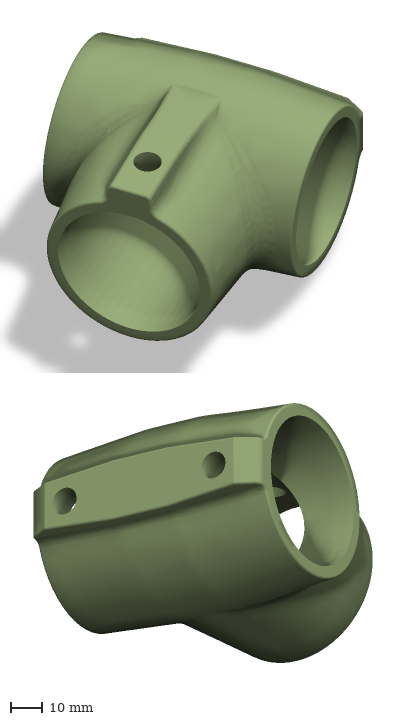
import cadquery as cq
import math

run_half_length = 43.0
branch_end = -59.0
bore_radius = 24.5
tube_end_radius = 28.6

band_radius = 31.4
band_half_length = 10.0
band_blend_length = 1.3
cone_slope = (band_radius - tube_end_radius) / (run_half_length - band_half_length)
band_end = band_half_length - band_blend_length
cone_start = band_half_length + band_blend_length
cone_start_radius = band_radius - band_blend_length * cone_slope

branch_draft_x = 6.3
branch_draft_z = 2.5
saddle_radius = 8.0

pad_height = 35.0
pad_base = 26.0
pad_draft = 6.0
pad_depth = pad_height - pad_base
pad_base_flare = pad_depth * math.tan(math.radians(pad_draft))
end_edge_radius = 0.8

run_pad_root_half_width = 10.2
run_pad_end_half_width = 7.5
run_pad_flat_half_length = 35.6
run_pad_end_height = 30.8
run_pad_corner_radius = 3.0
run_pad_blend_radius = 3.0

branch_pad_end_half_width = 7.2
branch_pad_root_half_width = 7.8
branch_pad_edge_radius = 1.8
branch_pad_blend_radius = 4.0
ramp_top_y = -34.2
ramp_foot_y = -4.0
ramp_foot_z = math.sqrt(band_radius**2 - ramp_foot_y**2)
ramp_slope = (pad_height - ramp_foot_z) / (ramp_foot_y - ramp_top_y)
ramp_bend_radius = 80.0

hole_diameter = 9.0
hole_setback = 15.0

far = 200.0
margin = 0.5
core_setback = 2.0


def block(x_range=(-far, far), y_range=(-far, far), z_range=(-far, far)):
    """Axis-aligned block spanning the given ranges."""
    sizes = [high - low for low, high in (x_range, y_range, z_range)]
    centre = tuple((low + high) / 2 for low, high in (x_range, y_range, z_range))
    return cq.Workplane("XY").box(*sizes).translate(centre)


def zone(x_range, y_range, z_range):
    """Selector for edges whose centre lies within the given ranges."""
    low_corner, high_corner = zip(x_range, y_range, z_range)
    return cq.selectors.BoxSelector(low_corner, high_corner)


def make_run():
    outline = (
        cq.Workplane("XY")
        .moveTo(-run_half_length, 0)
        .lineTo(-run_half_length, tube_end_radius)
        .lineTo(-cone_start, cone_start_radius)
        .tangentArcPoint((-band_end, band_radius), relative=False)
        .lineTo(band_end, band_radius)
        .tangentArcPoint((cone_start, cone_start_radius), relative=False)
        .lineTo(run_half_length, tube_end_radius)
        .lineTo(run_half_length, 0)
        .close()
    )
    return outline.revolve(360, (0, 0, 0), (1, 0, 0))


def make_branch():
    length = -branch_end
    root_radius_x = tube_end_radius + length * math.tan(math.radians(branch_draft_x))
    root_radius_z = tube_end_radius + length * math.tan(math.radians(branch_draft_z))
    cone = (
        cq.Workplane("XZ")
        .ellipse(root_radius_x, root_radius_z)
        .workplane(offset=length)
        .ellipse(tube_end_radius, tube_end_radius)
        .loft(ruled=True)
    )
    return cone


def make_half_core():
    """Half of the joined run and branch around the rounded saddle, short of the run's open end."""
    half = make_run().union(make_branch()).intersect(block(x_range=(0, far)))
    saddle_edges = zone((margin, run_half_length), (-tube_end_radius, -margin), (-band_radius, band_radius))
    half = half.edges(saddle_edges).edges("not(#X)").fillet(saddle_radius)
    return half.intersect(block(x_range=(0, run_half_length - core_setback)))


def make_run_pad_block():
    """Drafted block of constant height that narrows along the cone."""
    def section(plane, flare):
        middle = run_pad_root_half_width + flare
        end = run_pad_end_half_width + flare
        corners = [(0, middle), (band_half_length, middle), (run_half_length, end)]
        mirrored = [(x, -z) for x, z in reversed(corners)]
        return plane.polyline(corners + mirrored).close()

    face = section(cq.Workplane("XZ", origin=(0, pad_height, 0)), 0)
    return section(face.workplane(offset=pad_depth), pad_base_flare).loft(ruled=True)


def make_run_pad_envelope():
    """Side outline that slopes and rounds off the end of the run pad."""
    envelope = (
        cq.Workplane("XY", origin=(0, 0, -far))
        .moveTo(0, -far)
        .lineTo(0, pad_height)
        .lineTo(run_pad_flat_half_length, pad_height)
        .lineTo(run_half_length, run_pad_end_height)
        .lineTo(run_half_length, -far)
        .close()
        .extrude(2 * far)
    )
    corner = cq.NearestToPointSelector((run_half_length, run_pad_end_height, 0))
    return envelope.edges("|Z").edges(corner).fillet(run_pad_corner_radius)


def make_half_run():
    """Half of the run with its pad, blended and with rounded edges."""
    half = make_run().intersect(block(x_range=(0, far))).union(make_run_pad_block())
    blend_reach = run_pad_root_half_width + run_pad_blend_radius
    pad_roots = zone((margin, run_half_length - margin), (pad_base, band_radius), (-blend_reach, blend_reach))
    half = half.edges(pad_roots).edges("not(#X)").fillet(run_pad_blend_radius)
    half = half.intersect(make_run_pad_envelope())
    half = half.faces(">X").edges().fillet(end_edge_radius)
    pad_face_rim = zone((margin, run_half_length), (pad_height - margin, far), (-far, far))
    return half.edges(pad_face_rim).fillet(end_edge_radius)


def make_branch_pad_block():
    """Drafted block of constant height along the branch, slightly wider at its root."""
    def section(plane, flare):
        return plane.polyline([
            (0, branch_end),
            (branch_pad_end_half_width + flare, branch_end),
            (branch_pad_root_half_width + flare, 0),
            (0, 0),
        ]).close()

    base = section(cq.Workplane("XY", origin=(0, 0, pad_base)), pad_base_flare)
    return section(base.workplane(offset=pad_depth), 0).loft(ruled=True)


def make_branch_pad_envelope():
    """Side outline with the level pad face, its bend and the ramp down to the band."""
    envelope = (
        cq.Workplane("YZ")
        .moveTo(branch_end, -far)
        .lineTo(branch_end, pad_height)
        .lineTo(ramp_top_y, pad_height)
        .lineTo(0, ramp_foot_z + ramp_slope * ramp_foot_y)
        .lineTo(0, -far)
        .close()
        .extrude(far)
    )
    bend = cq.NearestToPointSelector((far / 2, ramp_top_y, pad_height))
    return envelope.edges("|X").edges(bend).fillet(ramp_bend_radius)


def make_half_branch():
    """Half of the branch with its pad, blended and with rounded edges."""
    half = make_branch().intersect(block(x_range=(0, far))).union(make_branch_pad_block())
    pad_sides = (branch_pad_end_half_width, branch_pad_root_half_width + pad_base_flare)
    along_branch = (branch_end + margin, -margin)
    half = half.edges(zone(pad_sides, along_branch, (pad_base, band_radius))).fillet(branch_pad_blend_radius)
    half = half.intersect(make_branch_pad_envelope())
    pad_rim = zone(pad_sides, (branch_end + margin, ramp_top_y / 2), (band_radius + margin, far))
    return half.edges(pad_rim).fillet(branch_pad_edge_radius)


def make_bores():
    run_bore = cq.Workplane("YZ", origin=(-far, 0, 0)).circle(bore_radius).extrude(2 * far)
    branch_bore = cq.Workplane("XZ").circle(bore_radius).extrude(far)
    return run_bore.union(branch_bore)


def make_screw_holes():
    """One hole through each pad wall: two into the run and one into the branch."""
    hole_x = run_half_length - hole_setback
    run_holes = (
        cq.Workplane("XZ")
        .pushPoints([(-hole_x, 0), (hole_x, 0)])
        .circle(hole_diameter / 2)
        .extrude(-far)
    )
    branch_hole = (
        cq.Workplane("XY")
        .center(0, branch_end + hole_setback)
        .circle(hole_diameter / 2)
        .extrude(far)
    )
    return run_holes.union(branch_hole)


half_body = make_half_core().union(make_half_run()).union(make_half_branch())
branch_rim = zone((margin, far), (branch_end - margin, branch_end + margin), (-far, far))
half_body = half_body.edges(branch_rim).fillet(end_edge_radius)
body = half_body.union(half_body.mirror("YZ"))
result = body.cut(make_bores()).cut(make_screw_holes())